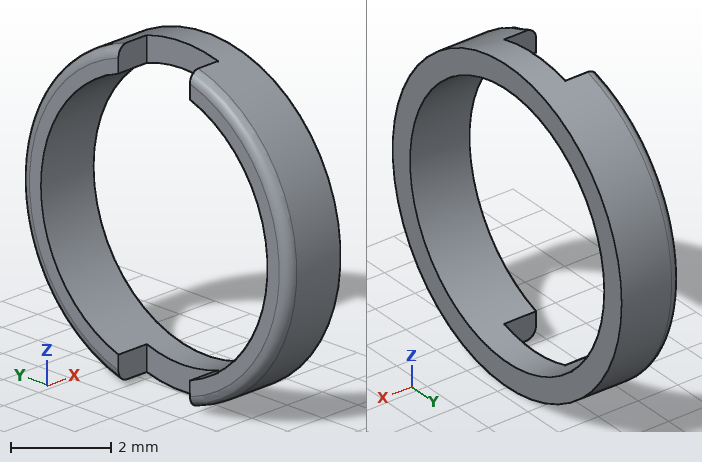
import cadquery as cq

outer_diameter = 7.5
inner_diameter = 6.35
ring_width = 1.5
edge_radius = 0.25

notch_width = 2.0
notch_depth = 0.8


def make_ring():
    """Plain ring centred on the origin, with its outer -X edge rounded."""
    disc = cq.Workplane("YZ").circle(outer_diameter / 2).extrude(ring_width / 2, both=True)
    rounded_disc = disc.faces("<X").edges().fillet(edge_radius)
    bore = cq.Workplane("YZ").circle(inner_diameter / 2).extrude(ring_width / 2, both=True)
    return rounded_disc.cut(bore)


def make_notch_cutter():
    """Bar along Z that opens both notches from the -X end."""
    return cq.Workplane("XY").box(notch_depth, notch_width, outer_diameter).translate(
        ((notch_depth - ring_width) / 2, 0, 0)
    )


result = make_ring().cut(make_notch_cutter())